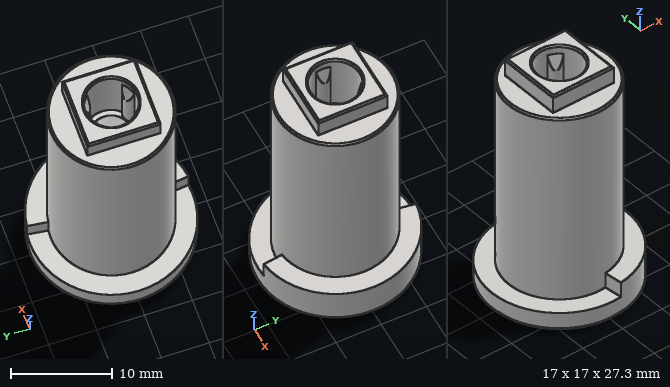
import cadquery as cq
import math

total_height = 27.3
shoulder_height = 25.25
body_diameter = 12.7
edge_chamfer = 0.2

flange_diameter = 17.0
flange_height = 2.5
raised_height = 4.3
flange_chamfer = 0.6
raised_half_angle = 83.0

square_side = 7.65
bore_diameter = 5.4
bore_depth = 6.82
pilot_diameter = 4.18
pilot_tip_angle = 118.0

rib_count = 3
rib_radius = 0.95
rib_centre_radius = 3.08
rib_top_depth = 1.0
rib_tip_depth = 2.7

bore_radius = bore_diameter / 2
pilot_radius = pilot_diameter / 2
rib_tip_radius = rib_centre_radius - rib_radius
bore_floor = total_height - bore_depth


def cylinder(diameter, bottom, top):
    return cq.Workplane("XY", origin=(0, 0, bottom)).circle(diameter / 2).extrude(top - bottom)


def revolve_profile(points):
    """Revolve a closed (radius, height) outline about the Z axis."""
    return cq.Workplane("XZ").polyline(points).close().revolve(360, (0, 0, 0), (0, 1, 0))


def make_flange():
    disc = cylinder(flange_diameter, 0, raised_height)
    reach = flange_diameter
    angle = math.radians(raised_half_angle)
    edge_x = reach * math.cos(angle)
    edge_y = reach * math.sin(angle)
    outline = [(0, 0), (edge_x, edge_y), (-reach, edge_y), (-reach, -edge_y), (edge_x, -edge_y)]
    lowered = (
        cq.Workplane("XY", origin=(0, 0, flange_height))
        .polyline(outline)
        .close()
        .extrude(raised_height - flange_height)
    )
    return disc.faces("<Z").chamfer(flange_chamfer).cut(lowered)


def make_body():
    return cylinder(body_diameter, 0, shoulder_height).faces(">Z").chamfer(edge_chamfer)


def make_square_drive():
    height = total_height - shoulder_height
    drive = cq.Workplane("XY", origin=(0, 0, shoulder_height)).rect(square_side, square_side)
    return drive.extrude(height).faces(">Z").chamfer(edge_chamfer)


def make_socket():
    """Bore with a chamfered mouth and a conical pilot in its floor."""
    tip_depth = pilot_radius / math.tan(math.radians(pilot_tip_angle / 2))
    return revolve_profile([
        (0, bore_floor - tip_depth),
        (pilot_radius, bore_floor),
        (bore_radius, bore_floor),
        (bore_radius, total_height - edge_chamfer),
        (bore_radius + edge_chamfer, total_height),
        (0, total_height),
    ])


def make_ribs():
    """Parts of upright pins inside the bore, cut by a cone that narrows downwards."""
    rib_top = total_height - rib_top_depth
    rib_tip = total_height - rib_tip_depth
    pins = (
        cq.Workplane("XY", origin=(0, 0, bore_floor))
        .polarArray(rib_centre_radius, 180, 360, rib_count)
        .circle(rib_radius)
        .extrude(rib_top - bore_floor)
    )
    lead_in = revolve_profile([
        (0, rib_tip),
        (rib_tip_radius, rib_tip),
        (bore_radius, rib_top),
        (0, rib_top),
    ])
    return pins.intersect(cylinder(bore_diameter, bore_floor, rib_top)).cut(lead_in)


socket = make_socket().cut(make_ribs())
result = make_flange().union(make_body()).union(make_square_drive()).cut(socket)